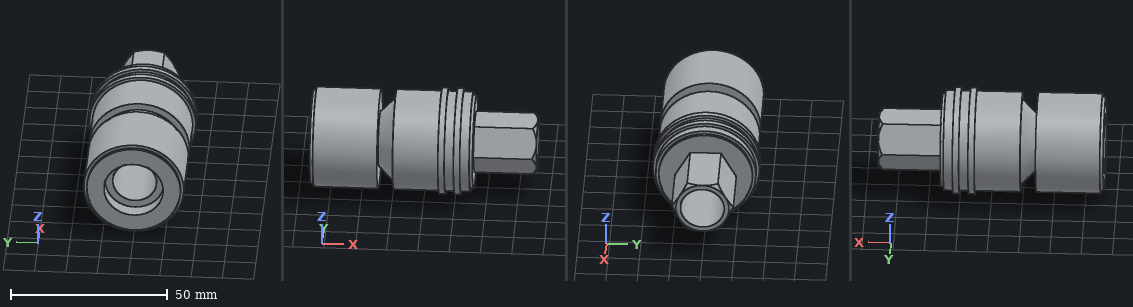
import cadquery as cq
import math

total_length = 72
lip_length = 1.0
groove_start = 21.5
groove_width = 5.0
body_end = 52.0
ring_starts = (41.05, 46.0)
ring_width = 2.0

body_radius = 16.0
lip_radius = 15.0
ring_radius = 17.0
neck_start_radius = 8.8

counterbore_radius = 9.4
counterbore_depth = 5.0
bore_radius = 7.0

hex_across_flats = 17.0
hex_across_corners = hex_across_flats / math.cos(math.pi / 6)


def x_cylinder(start, length, radius):
    """Solid cylinder along X."""
    return cq.Workplane("YZ", origin=(start, 0, 0)).circle(radius).extrude(length)


def make_body():
    """Turned body: stepped ends and a groove whose floor is a 45 degree cone."""
    groove_end = groove_start + groove_width
    neck_end_radius = neck_start_radius + groove_width
    profile = [
        (0, 0),
        (0, lip_radius),
        (lip_length, lip_radius),
        (lip_length, body_radius),
        (groove_start, body_radius),
        (groove_start, neck_start_radius),
        (groove_end, neck_end_radius),
        (groove_end, body_radius),
        (body_end - lip_length, body_radius),
        (body_end - lip_length, lip_radius),
        (body_end, lip_radius),
        (body_end, 0),
    ]
    half_section = cq.Workplane("XY").polyline(profile).close()
    return half_section.revolve(360, (0, 0, 0), (1, 0, 0))


def make_hex_shank():
    """Hex shank with its corners turned off at 45 degrees down to the flats."""
    length = total_length - body_end
    plane = cq.Workplane("YZ", origin=(body_end, 0, 0))
    shank = plane.polygon(6, hex_across_corners).extrude(length)
    corner_chamfer = (hex_across_corners - hex_across_flats) / 2
    envelope = x_cylinder(body_end, length, hex_across_corners / 2)
    envelope = envelope.faces(">X").chamfer(corner_chamfer)
    return shank.intersect(envelope)


result = make_body().union(make_hex_shank())
for ring_start in ring_starts:
    result = result.union(x_cylinder(ring_start, ring_width, ring_radius))

result = result.cut(x_cylinder(0, total_length, bore_radius))
result = result.cut(x_cylinder(0, counterbore_depth, counterbore_radius))